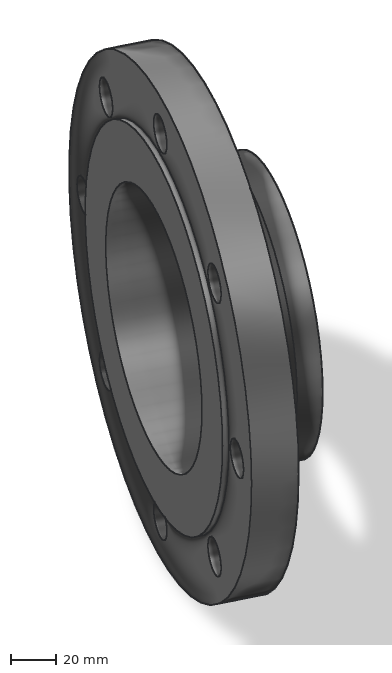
import cadquery as cq


flange_diameter = 250.0
plate_thickness = 22.0
raised_face_diameter = 188.0
raised_face_height = 3.0

overall_length = 55.0
bore_diameter = 131.7
neck_diameter = 139.7
neck_straight_length = 12.0
hub_base_diameter = 156.0
root_fillet_radius = 8.0

bolt_circle_diameter = 210.0
bolt_hole_diameter = 18.0
bolt_hole_count = 8

bore_radius = bore_diameter / 2
neck_radius = neck_diameter / 2
hub_base_radius = hub_base_diameter / 2
raised_face_radius = raised_face_diameter / 2
flange_radius = flange_diameter / 2
plate_back = raised_face_height + plate_thickness
cone_top = overall_length - neck_straight_length
radius_tolerance = 0.01


def make_turned_body():
    """Revolve the half section, then round the root between cone and plate."""
    section = (
        cq.Workplane("XY")
        .moveTo(bore_radius, 0)
        .lineTo(raised_face_radius, 0)
        .lineTo(raised_face_radius, raised_face_height)
        .lineTo(flange_radius, raised_face_height)
        .lineTo(flange_radius, plate_back)
        .lineTo(hub_base_radius, plate_back)
        .lineTo(neck_radius, cone_top)
        .lineTo(neck_radius, overall_length)
        .lineTo(bore_radius, overall_length)
        .close()
    )
    body = section.revolve(360, (0, 0, 0), (0, 1, 0))
    circles = body.edges("%CIRCLE")
    root_circle = circles.filter(lambda edge: abs(edge.radius() - hub_base_radius) < radius_tolerance)
    return root_circle.fillet(root_fillet_radius)


def make_bolt_holes():
    """Through-hole cylinders on the bolt circle, the first one on the +X axis."""
    return (
        cq.Workplane("XZ")
        .polarArray(bolt_circle_diameter / 2, 0, 360, bolt_hole_count)
        .circle(bolt_hole_diameter / 2)
        .extrude(-plate_back)
    )


result = make_turned_body().cut(make_bolt_holes())